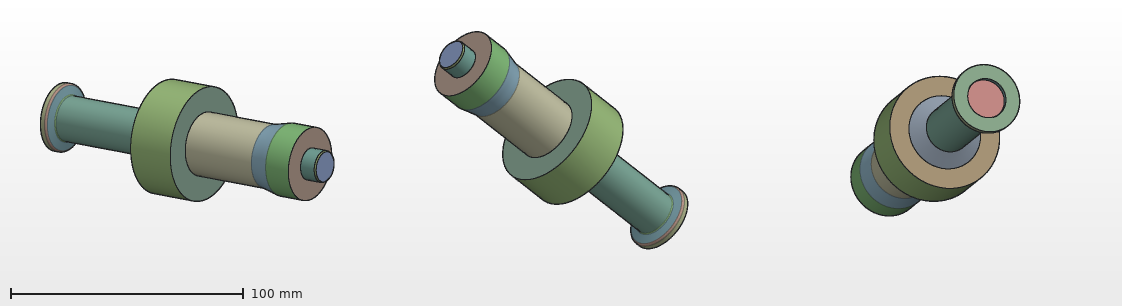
import cadquery as cq
import math

FLANGE_RIM = 3.0
CONE_START = 50.4
COLLAR_START = 55.0
COLLAR_END = 76.0
FLARE_START = 111.0
HEAD_START = 120.0
HEAD_END = 132.0
TOTAL_LENGTH = 140.0

FLANGE_RADIUS = 15.0
TUBE_RADIUS = 10.0
CONE_BASE_RADIUS = 16.3
COLLAR_RADIUS = 25.0
BODY_RADIUS = 14.0
HEAD_RADIUS = 16.0
STUB_RADIUS = 7.0

FLANGE_TAPER_ANGLE = 15.0
FLANGE_RIM_FILLET = 1.0
FLANGE_ROOT_FILLET = 0.5
RECESS_RADIUS = 8.7
RECESS_DEPTH = 2.2

CHAMFER_LENGTH = 0.8
CHAMFER_DROP = 0.4

SELECT_TOLERANCE = 0.01

AXIS_START = (0, 0, 0)
AXIS_END = (1, 0, 0)


def circular_edge(x, radius):
    """Select the circular edge around the X axis at one station."""
    reach = radius + SELECT_TOLERANCE
    low_corner = (x - SELECT_TOLERANCE, -reach, -reach)
    high_corner = (x + SELECT_TOLERANCE, reach, reach)
    return cq.selectors.BoxSelector(low_corner, high_corner, boundingbox=True)


def make_flanged_tube():
    """Flange with its tube, up to the start of the cone."""
    taper_length = (FLANGE_RADIUS - TUBE_RADIUS) * math.tan(math.radians(FLANGE_TAPER_ANGLE))
    flange_root = FLANGE_RIM + taper_length
    tube = (
        cq.Workplane("XY")
        .moveTo(0, 0)
        .lineTo(0, FLANGE_RADIUS)
        .lineTo(FLANGE_RIM, FLANGE_RADIUS)
        .lineTo(flange_root, TUBE_RADIUS)
        .lineTo(CONE_START, TUBE_RADIUS)
        .lineTo(CONE_START, 0)
        .close()
        .revolve(360, AXIS_START, AXIS_END)
    )
    tube = tube.edges(circular_edge(FLANGE_RIM, FLANGE_RADIUS)).fillet(FLANGE_RIM_FILLET)
    tube = tube.edges(circular_edge(flange_root, TUBE_RADIUS)).fillet(FLANGE_ROOT_FILLET)
    recess = cq.Workplane("YZ").circle(RECESS_RADIUS).extrude(RECESS_DEPTH)
    return tube.cut(recess)


def make_body():
    """Cone, collar, body, flared head and chamfered end stub."""
    return (
        cq.Workplane("XY")
        .moveTo(CONE_START, 0)
        .lineTo(CONE_START, TUBE_RADIUS)
        .lineTo(COLLAR_START, CONE_BASE_RADIUS)
        .lineTo(COLLAR_START, COLLAR_RADIUS)
        .lineTo(COLLAR_END, COLLAR_RADIUS)
        .lineTo(COLLAR_END, BODY_RADIUS)
        .lineTo(FLARE_START, BODY_RADIUS)
        .lineTo(HEAD_START, HEAD_RADIUS)
        .lineTo(HEAD_END, HEAD_RADIUS)
        .lineTo(HEAD_END, STUB_RADIUS)
        .lineTo(TOTAL_LENGTH - CHAMFER_LENGTH, STUB_RADIUS)
        .lineTo(TOTAL_LENGTH, STUB_RADIUS - CHAMFER_DROP)
        .lineTo(TOTAL_LENGTH, 0)
        .close()
        .revolve(360, AXIS_START, AXIS_END)
    )


result = make_flanged_tube().union(make_body()).translate((-TOTAL_LENGTH / 2, 0, 0))